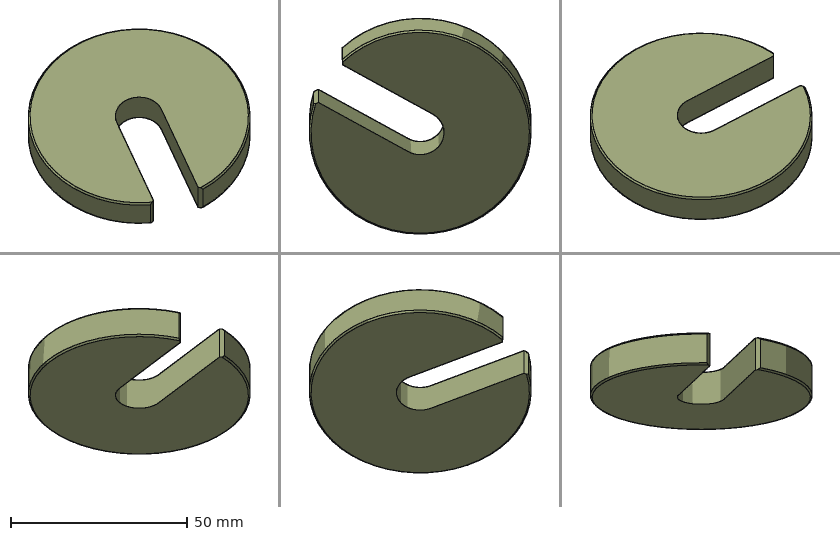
import cadquery as cq
import math

disc_diameter = 62.9
thickness = 9.5
rim_chamfer = 0.5
slot_width = 13.45
mouth_half_width = 7.9
mouth_start = 29.6
cut_overrun = 0.6

disc_radius = disc_diameter / 2
slot_radius = slot_width / 2
mouth_end = math.sqrt(disc_radius**2 - mouth_half_width**2)
flare_slope = (mouth_half_width - slot_radius) / (mouth_end - mouth_start)

cut_end = disc_radius + cut_overrun
cut_half_width = slot_radius + flare_slope * (cut_end - mouth_start)


def make_disc():
    """Disc standing on Z = 0 with both rims chamfered."""
    disc = cq.Workplane("XY").circle(disc_radius).extrude(thickness)
    return disc.faces("<Z or >Z").edges().chamfer(rim_chamfer)


def make_slot():
    """Round-ended slot, centred on the disc axis, flaring at its +X mouth."""
    return (
        cq.Workplane("XY")
        .moveTo(0, slot_radius)
        .threePointArc((-slot_radius, 0), (0, -slot_radius))
        .lineTo(mouth_start, -slot_radius)
        .lineTo(cut_end, -cut_half_width)
        .lineTo(cut_end, cut_half_width)
        .lineTo(mouth_start, slot_radius)
        .close()
        .extrude(thickness)
    )


result = make_disc().cut(make_slot())